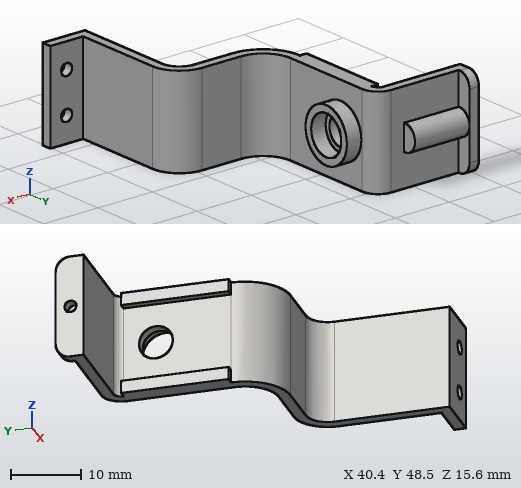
import cadquery as cq

length_x = 40.4
length_y = 48.5
width = 15.6
thickness = 1.75
upper_web_x = 15.37
lower_web_x = 32.6
upper_flange_y = 44.35
step_y = 20.4
upper_bend_radius = 1.15
middle_bend_radius = 5.0
lower_bend_radius = 3.25

tab_thickness = 1.75
tab_corner_radius = 2.2
barrel_length = 11.8
barrel_radius = 2.25
barrel_y = length_y - barrel_radius
pin_hole_diameter = 1.75

rail_height = 1.2
rail_width = 1.9
rail_start_y = 27.15
rail_end_y = upper_flange_y - upper_bend_radius

boss_y = 38.35
boss_diameter = 9.2
boss_height = 2.65
boss_bore_diameter = 6.7
web_hole_diameter = 5.0

mount_hole_diameter = 2.0
mount_hole_x = 37.4
mount_hole_spacing = 7.0


def box(x0, x1, y0, y1, z0, z1):
    """Box given by its limits along each axis."""
    return cq.Workplane("XY").box(x1 - x0, y1 - y0, z1 - z0, centered=False).translate((x0, y0, z0))


def cylinder_x(diameter, x0, x1, y):
    """Cylinder along X at mid width."""
    plane = cq.Workplane("YZ", origin=(x0, y, width / 2))
    return plane.circle(diameter / 2).extrude(x1 - x0)


def vertical_bend(body, x, y, radius):
    """Round the upright edge at (x, y)."""
    margin = thickness / 4
    corner = cq.selectors.BoxSelector(
        (x - margin, y - margin, -margin), (x + margin, y + margin, width + margin)
    )
    return body.edges("|Z").edges(corner).fillet(radius)


def bent_strip():
    """Strip of constant thickness with three rounded bends and one sharp one."""
    upper_outer_x = upper_web_x + thickness
    lower_outer_x = lower_web_x + thickness
    flange_outer_y = upper_flange_y + thickness
    step_outer_y = step_y + thickness
    outline = [
        (0, upper_flange_y),
        (upper_web_x, upper_flange_y),
        (upper_web_x, step_y),
        (lower_web_x, step_y),
        (lower_web_x, 0),
        (length_x, 0),
        (length_x, thickness),
        (lower_outer_x, thickness),
        (lower_outer_x, step_outer_y),
        (upper_outer_x, step_outer_y),
        (upper_outer_x, flange_outer_y),
        (0, flange_outer_y),
    ]
    strip = cq.Workplane("XY").polyline(outline).close().extrude(width)
    strip = vertical_bend(strip, upper_web_x, upper_flange_y, upper_bend_radius)
    strip = vertical_bend(strip, upper_outer_x, flange_outer_y, upper_bend_radius + thickness)
    strip = vertical_bend(strip, upper_outer_x, step_outer_y, middle_bend_radius)
    strip = vertical_bend(strip, upper_web_x, step_y, middle_bend_radius + thickness)
    strip = vertical_bend(strip, lower_web_x, step_y, lower_bend_radius)
    return vertical_bend(strip, lower_outer_x, step_outer_y, lower_bend_radius + thickness)


def end_tab():
    """Tab across the end of the upper flange, rounded at its free corners."""
    tab = box(0, tab_thickness, upper_flange_y, length_y, 0, width)
    return tab.edges("|X and >Y").fillet(tab_corner_radius)


def barrel():
    """Half-round barrel lying on the back of the upper flange."""
    full = cylinder_x(2 * barrel_radius, 0, barrel_length, barrel_y)
    seat_y = upper_flange_y + thickness / 2
    return full.intersect(box(0, barrel_length, seat_y, length_y, 0, width))


def rail(bottom_z):
    return box(upper_web_x - rail_height, upper_web_x, rail_start_y, rail_end_y, bottom_z, bottom_z + rail_width)


web_back_x = upper_web_x + thickness
boss_end_x = web_back_x + boss_height

body = bent_strip().union(end_tab()).union(barrel())
for rail_z in (0, width - rail_width):
    body = body.union(rail(rail_z))
body = body.union(cylinder_x(boss_diameter, web_back_x, boss_end_x, boss_y))

body = body.cut(cylinder_x(web_hole_diameter, upper_web_x, web_back_x, boss_y))
body = body.cut(cylinder_x(boss_bore_diameter, web_back_x, boss_end_x, boss_y))

body = body.cut(cylinder_x(pin_hole_diameter, 0, tab_thickness, barrel_y))

for side in (-1, 1):
    hole_z = width / 2 + side * mount_hole_spacing / 2
    hole = cq.Workplane("XZ", origin=(mount_hole_x, 0, hole_z)).circle(mount_hole_diameter / 2).extrude(-thickness)
    body = body.cut(hole)

result = body